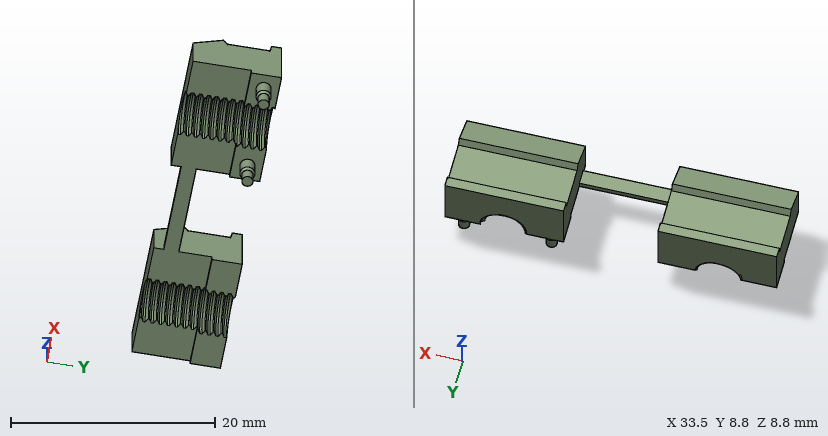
import cadquery as cq
import math

overall_length = 33.5
block_length = 12.0
block_depth = 8.8
block_height = 5.75
block_center = (overall_length - block_length) / 2

foot_depth = 3.0
foot_height = 0.5
rib_top_depth = 1.0
rib_base_depth = 1.17
recess_drop = 0.9
recess_end = 5.4
peak_distance = 5.8
peak_drop = 0.27
front_edge_drop = 1.7

bore_radius = 2.08
thread_root_radius = 2.48
thread_pitch = 0.8
thread_root_width = thread_pitch / 4
thread_mouth_width = 0.85 * thread_pitch
thread_extra_angle = 8.0
thread_overlap = 0.05

strap_width = 1.5
strap_thickness = 0.6
strap_front = 1.0

pin_spacing = 8.85
pin_from_rear = 1.5
pin_length = 3.05
pin_shank_length = 1.5
pin_taper_length = 0.3
pin_shank_diameter = 1.47
pin_tip_diameter = 1.1


def block(center_x):
    """Solid clamp half with a rear rib, a recess, a sloped front ridge and a rear foot."""
    rear = block_depth
    foot_front = rear - foot_depth
    recess_floor = block_height - recess_drop
    profile = [
        (rear, 0),
        (rear, block_height),
        (rear - rib_top_depth, block_height),
        (rear - rib_base_depth, recess_floor),
        (rear - recess_end, recess_floor),
        (rear - peak_distance, block_height - peak_drop),
        (0, block_height - front_edge_drop),
        (0, foot_height),
        (foot_front, foot_height),
        (foot_front, 0),
    ]
    start_x = center_x - block_length / 2
    return cq.Workplane("YZ", origin=(start_x, 0, 0)).polyline(profile).close().extrude(block_length)


def thread_turn():
    """Half turn of left-hand groove cutter along Y, from the +X to the -X side of the bore.

    The groove center passes Y = 0 straight above the bore axis.
    """
    flank_slope = (thread_mouth_width - thread_root_width) / 2 / (thread_root_radius - bore_radius)
    inner_radius = bore_radius - thread_overlap
    inner_half = thread_mouth_width / 2 + flank_slope * thread_overlap
    root_half = thread_root_width / 2
    sweep_angle = 180 + 2 * thread_extra_angle
    rise = thread_pitch * sweep_angle / 360
    helix = cq.Workplane(cq.Wire.makeHelix(thread_pitch, rise, bore_radius, lefthand=True))
    groove_section = [
        (inner_radius, -inner_half),
        (thread_root_radius, -root_half),
        (thread_root_radius, root_half),
        (inner_radius, inner_half),
    ]
    groove = cq.Workplane("XZ").polyline(groove_section).close().sweep(helix, isFrenet=True)
    return (
        groove.translate((0, 0, -rise / 2))
        .rotate((0, 0, 0), (0, 0, 1), -90 + sweep_angle / 2)
        .rotate((0, 0, 0), (1, 0, 0), -90)
    )


def cut_threaded_bore(body, center_x, thread_start):
    """Cut the half bore and its thread; thread_start is the Y of the first groove above the axis."""
    bore = cq.Workplane("XZ").center(center_x, 0).circle(bore_radius).extrude(-block_depth)
    body = body.cut(bore)
    turn = thread_turn().translate((center_x, thread_start, 0))
    turn_count = math.ceil(block_depth / thread_pitch) + 2
    for index in range(turn_count):
        body = body.cut(turn.translate((0, index * thread_pitch, 0)))
    return body


def strap():
    """Flexible strap bridging the two halves."""
    gap = overall_length - 2 * block_length
    return cq.Workplane("XY", origin=(0, strap_front, foot_height)).box(
        gap, strap_width, strap_thickness, centered=(True, False, False)
    )


def pin(center_x):
    """Stepped pin hanging below the foot, with a tapered shoulder."""
    shank_radius = pin_shank_diameter / 2
    tip_radius = pin_tip_diameter / 2
    taper_end = pin_shank_length + pin_taper_length
    half_profile = [
        (0, 0),
        (shank_radius, 0),
        (shank_radius, -pin_shank_length),
        (tip_radius, -taper_end),
        (tip_radius, -pin_length),
        (0, -pin_length),
    ]
    shape = cq.Workplane("XZ").polyline(half_profile).close().revolve(360, (0, 0, 0), (0, 1, 0))
    return shape.translate((center_x, block_depth - pin_from_rear, 0))


left_half = cut_threaded_bore(block(-block_center), -block_center, -thread_pitch / 2)
right_half = cut_threaded_bore(block(block_center), block_center, 0)

result = left_half.union(right_half).union(strap())
for side in (-1, 1):
    result = result.union(pin(block_center + side * pin_spacing / 2))